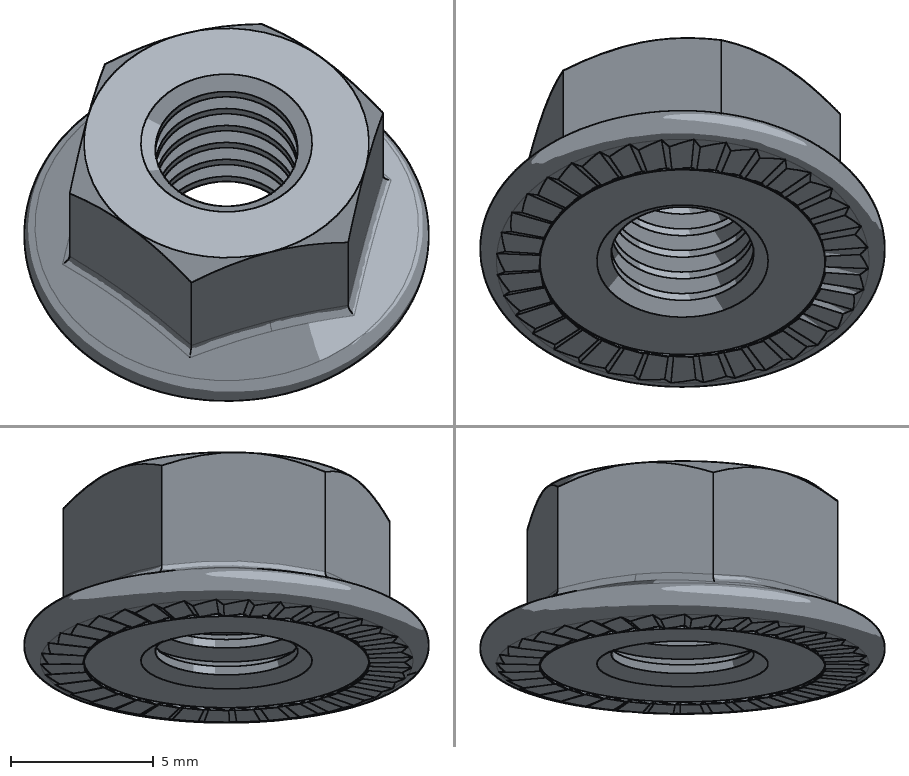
import cadquery as cq
import math

height = 6.1
flange_diameter = 14.2
across_flats = 10.0

rim_radius = 0.57
flange_slope = 20.0
blend_radius = 0.34

corner_chamfer_angle = 38.0

minor_diameter = 5.0
major_diameter = 6.0
ring_count = 6
crest_length = 0.31

tooth_count = 36
tooth_height = 0.1
teeth_inner_radius = across_flats / 2
teeth_crest_radius = 6.25
steep_face_angle = 2.2

flange_radius = flange_diameter / 2
rim_center_radius = flange_radius - rim_radius
rim_center_z = tooth_height + rim_radius
hex_corner_diameter = across_flats / math.cos(math.radians(30))
slope = math.radians(flange_slope)
slope_start_radius = rim_center_radius + rim_radius * math.sin(slope)
slope_start_z = rim_center_z + rim_radius * math.cos(slope)
cone_top_z = slope_start_z + slope_start_radius * math.tan(slope)


def make_flange():
    """Cone-topped disc with a round rim, resting on a thin ring for the teeth."""
    return (
        cq.Workplane("XZ")
        .moveTo(0, tooth_height)
        .lineTo(teeth_inner_radius, tooth_height)
        .lineTo(teeth_inner_radius, 0)
        .lineTo(teeth_crest_radius, 0)
        .lineTo(rim_center_radius, tooth_height)
        .threePointArc((flange_radius, rim_center_z), (slope_start_radius, slope_start_z))
        .lineTo(0, cone_top_z)
        .close()
        .revolve(360, (0, 0), (0, 1))
    )


def make_hexagon():
    """Hexagonal prism with two corners on the Y axis."""
    return (
        cq.Workplane("XY")
        .workplane(offset=rim_center_z)
        .polygon(6, hex_corner_diameter)
        .extrude(height - rim_center_z)
        .rotate((0, 0, 0), (0, 0, 1), 90)
    )


def join_with_blend(flange, hexagon):
    """Join both bodies and round the inner corner along the foot of the hexagon."""
    reach = hex_corner_diameter / 2
    margin = 0.14
    lowest_foot = slope_start_z
    highest_foot = cone_top_z
    foot_zone = cq.selectors.BoxSelector(
        (-reach - margin, -reach - margin, lowest_foot),
        (reach + margin, reach + margin, highest_foot),
    )
    return flange.union(hexagon).edges(foot_zone).edges("not |Z").fillet(blend_radius)


def make_corner_chamfer_cutter():
    """Ring that bevels the top corners down from the circle touching the flats."""
    inner_radius = across_flats / 2
    outer_radius = flange_radius
    drop = (outer_radius - inner_radius) * math.tan(math.radians(corner_chamfer_angle))
    return (
        cq.Workplane("XZ")
        .polyline([(inner_radius, height), (outer_radius, height), (outer_radius, height - drop)])
        .close()
        .revolve(360, (0, 0), (0, 1))
    )


def make_threaded_bore():
    """Bore with evenly pitched V grooves; half a groove opens each end."""
    minor_radius = minor_diameter / 2
    major_radius = major_diameter / 2
    pitch = (height - tooth_height) / ring_count
    flank_length = (pitch - crest_length) / 2
    outline = [(0, tooth_height), (major_radius, tooth_height)]
    for ring in range(ring_count):
        ring_bottom = tooth_height + ring * pitch
        crest_bottom = ring_bottom + flank_length
        outline.append((minor_radius, crest_bottom))
        outline.append((minor_radius, crest_bottom + crest_length))
        outline.append((major_radius, ring_bottom + pitch))
    outline.append((0, height))
    return cq.Workplane("XZ").polyline(outline).close().revolve(360, (0, 0), (0, 1))


def make_tooth_gap():
    """Wedge between two crests: a long ramp up to the root and a short steep face back down."""
    pitch_angle = 360 / tooth_count
    ramp_start = math.tan(math.radians(steep_face_angle - pitch_angle))
    face_end = math.tan(math.radians(steep_face_angle))

    def gap_section(radius):
        corners = [(radius * ramp_start, 0), (0, tooth_height), (radius * face_end, 0)]
        return cq.Wire.makePolygon([cq.Vector(radius, y, z) for y, z in corners], close=True)

    sections = [gap_section(teeth_inner_radius), gap_section(rim_center_radius)]
    return cq.Workplane(cq.Solid.makeLoft(sections, True))


def cut_teeth(body):
    """Cut the gaps between the teeth evenly around the underside."""
    gap = make_tooth_gap()
    for tooth in range(tooth_count):
        body = body.cut(gap.rotate((0, 0, 0), (0, 0, 1), tooth * 360 / tooth_count))
    return body


nut = join_with_blend(make_flange(), make_hexagon())
nut = nut.cut(make_corner_chamfer_cutter())
nut = nut.cut(make_threaded_bore())
result = cut_teeth(nut)